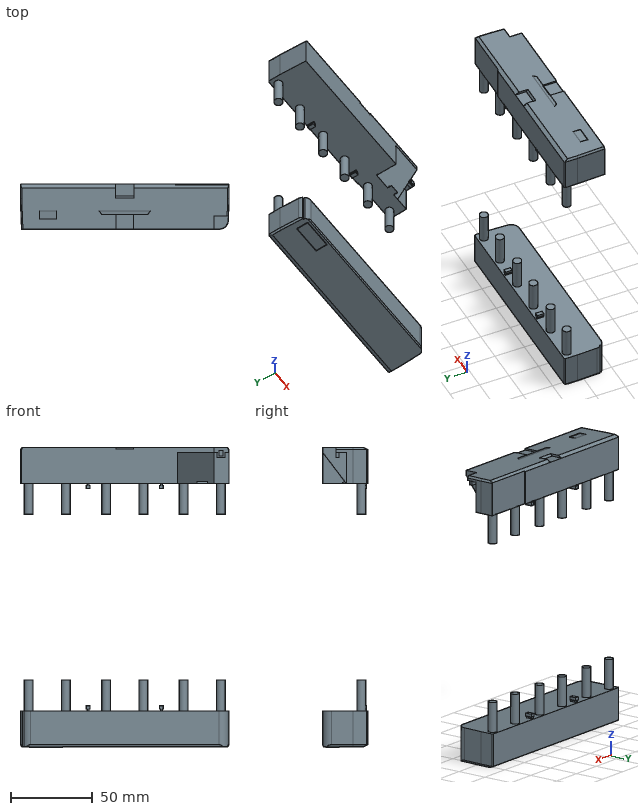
import cadquery as cq

LENGTH = 128.0
DEPTH = 27.8
TOTAL_HEIGHT = 183.9
BLOCK_HEIGHT = 22.0
LABEL_THICKNESS = 0.5

LOWER_BASE = LABEL_THICKNESS
LOWER_MATE = LOWER_BASE + BLOCK_HEIGHT
UPPER_MATE = TOTAL_HEIGHT - BLOCK_HEIGHT
MID_X = LENGTH / 2

END_TAPER = 0.7
TAPER_START_Y = 18.8
BEVEL_HEIGHT = 1.38
END_BEVEL = 1.0
BACK_BEVEL = 2.5
LOWER_FRONT_BEVEL = 0.5
LOWER_CORNER_RADIUS = 5.7
REAR_CORNER_CHAMFER = 0.7

CORNER_GROOVE_X = 2.2
CORNER_GROOVE_Y = 3.0

PIN_DIAMETER = 5.5
PIN_LENGTH = 19.0
PIN_Y = DEPTH - 4.0
PIN_PAIR_SPACING = 22.8
PIN_PAIR_PITCH = 47.5
PIN_PAIR_COUNT = 3

PEG_OFFSET = 22.5
PEG_HEAD_WIDTH = 2.5
PEG_NECK_WIDTH = 1.3
PEG_HEIGHT = 3.1
PEG_NECK_HEIGHT = 1.1
PEG_LENGTH = 4.5
PEG_BACK_Y = DEPTH - 1.0

CHANNEL_DEPTH = 1.01
RAMP_SLOPE = 0.08
RAMP_END_Y = 11.2
CHANNEL_WIDTH = 10.5
CHANNEL_END_Y = 9.2
WIDE_RAMP_FRONT = 28.3
WIDE_RAMP_BACK = 31.3
POCKET_LEFT_X = 11.8
POCKET_WIDTH = 10.5
POCKET_FRONT_Y = 6.3
BACK_NOTCH_WIDTH = 11.2
BACK_NOTCH_LENGTH = 8.5
BACK_NOTCH_DEPTH = 1.38
BACK_NOTCH_SLOPE = 1.1
BACK_STEP_LEFT_X = 95.0
BACK_STEP_DEPTH = 0.5

UNDERCUT_LEFT_X = 96.4
CORNER_X = 118.6
PLATE_THICKNESS = 3.0
UNDERCUT_DEPTH = 14.5
CORNER_NOTCH_DEPTH = 8.0

LEDGE_LEFT_X = 108.1
LEDGE_WIDTH = 6.5
LEDGE_FRONT_Y = 11.5
LEDGE_HEIGHT = 1.3

HANGER_CENTER_X = 123.0
HANGER_WIDTH = 5.0
HANGER_DROP = 6.3
HANGER_THICKNESS = 1.8
HANGER_WINDOW_WIDTH = 2.4
HANGER_WINDOW_TOP = 1.8
HANGER_WINDOW_HEIGHT = 3.5
HANGER_WINDOW_DEPTH = 0.7

LABEL_LEFT_X = 5.5
LABEL_LENGTH = 20.5
LABEL_FRONT_Y = 2.0
LABEL_WIDTH = 8.0


def box(x, y, z, length, depth, height):
    """Box placed by its corner with the smallest coordinates."""
    return cq.Workplane("XY").box(length, depth, height, centered=False).translate((x, y, z))


def side_prism(points, x, length):
    """Prism along X whose section is given as (y, z) points."""
    return cq.Workplane("YZ", origin=(x, 0, 0)).polyline(points).close().extrude(length)


def block_outline(end_inset=0.0, back_inset=0.0, front_inset=0.0):
    """Plan outline of a housing with its ends tapering toward the front."""
    left = end_inset
    right = LENGTH - end_inset
    back = DEPTH - back_inset
    return [
        (left + END_TAPER, front_inset),
        (right - END_TAPER, front_inset),
        (right, TAPER_START_Y),
        (right, back),
        (left, back),
        (left, TAPER_START_Y),
    ]


def outline_prism(mate_z, height):
    """Straight prism of the housing outline with chamfered rear corners."""
    prism = cq.Workplane("XY", origin=(0, 0, mate_z)).polyline(block_outline()).close().extrude(height)
    return prism.edges("|Z and >Y").chamfer(REAR_CORNER_CHAMFER)


def bevelled_block(mate_z, direction, front_bevel=0.0):
    """Housing block from its mating face, bevelled around its outer face."""
    straight = direction * (BLOCK_HEIGHT - BEVEL_HEIGHT)
    body = outline_prism(mate_z, straight)
    rim = (
        cq.Workplane("XY", origin=(0, 0, mate_z + straight))
        .polyline(block_outline()).close()
        .workplane(offset=direction * BEVEL_HEIGHT)
        .polyline(block_outline(END_BEVEL, BACK_BEVEL, front_bevel)).close()
        .loft(ruled=True)
    )
    return body.union(rim.intersect(outline_prism(mate_z, direction * BLOCK_HEIGHT)))


def pins(mate_z, direction):
    """Row of contact pins standing on a mating face."""
    row_center = (PIN_PAIR_COUNT - 1) / 2
    points = []
    for pair in range(PIN_PAIR_COUNT):
        pair_x = MID_X + (pair - row_center) * PIN_PAIR_PITCH
        points += [(pair_x + side * PIN_PAIR_SPACING / 2, PIN_Y) for side in (-1, 1)]
    return (
        cq.Workplane("XY", origin=(0, 0, mate_z))
        .pushPoints(points).circle(PIN_DIAMETER / 2).extrude(direction * PIN_LENGTH)
    )


def snap_peg(center_x, mate_z, direction):
    """T-shaped peg standing on a mating face."""
    neck = PEG_NECK_WIDTH / 2
    head = PEG_HEAD_WIDTH / 2
    shoulder_z = mate_z + direction * PEG_NECK_HEIGHT
    tip_z = mate_z + direction * PEG_HEIGHT
    section = [
        (center_x - neck, mate_z),
        (center_x + neck, mate_z),
        (center_x + neck, shoulder_z),
        (center_x + head, shoulder_z),
        (center_x + head, tip_z),
        (center_x - head, tip_z),
        (center_x - head, shoulder_z),
        (center_x - neck, shoulder_z),
    ]
    return cq.Workplane("XZ", origin=(0, PEG_BACK_Y, 0)).polyline(section).close().extrude(PEG_LENGTH)


def add_connectors(block, mate_z, direction):
    """Join the pins and the two snap pegs to a block."""
    block = block.union(pins(mate_z, direction))
    for side in (-1, 1):
        block = block.union(snap_peg(MID_X + side * PEG_OFFSET, mate_z, direction))
    return block


def ramp_cutter(x, length, front_y):
    """Shallow wedge that is deepest at its front and runs out into the top face."""
    floor_z = TOTAL_HEIGHT - RAMP_SLOPE * (RAMP_END_Y - front_y)
    section = [
        (front_y, floor_z),
        (RAMP_END_Y, TOTAL_HEIGHT),
        (front_y, TOTAL_HEIGHT),
    ]
    return side_prism(section, x, length)


def surface_recesses():
    """Front channel with its flared ramp, ramped pocket, back notch and back step."""
    floor_z = TOTAL_HEIGHT - CHANNEL_DEPTH
    channel = box(MID_X - CHANNEL_WIDTH / 2, 0, floor_z, CHANNEL_WIDTH, CHANNEL_END_Y, CHANNEL_DEPTH)

    flare = (
        cq.Workplane("XY", origin=(0, 0, floor_z))
        .polyline([
            (MID_X - WIDE_RAMP_FRONT / 2, CHANNEL_END_Y),
            (MID_X + WIDE_RAMP_FRONT / 2, CHANNEL_END_Y),
            (MID_X + WIDE_RAMP_BACK / 2, RAMP_END_Y),
            (MID_X - WIDE_RAMP_BACK / 2, RAMP_END_Y),
        ])
        .close().extrude(CHANNEL_DEPTH)
    )
    wide_ramp = ramp_cutter(MID_X - WIDE_RAMP_BACK / 2, WIDE_RAMP_BACK, CHANNEL_END_Y).intersect(flare)

    pocket = ramp_cutter(POCKET_LEFT_X, POCKET_WIDTH, POCKET_FRONT_Y)

    notch_floor_z = TOTAL_HEIGHT - BACK_NOTCH_DEPTH
    notch_front_y = DEPTH - BACK_NOTCH_LENGTH
    back_notch = side_prism(
        [
            (notch_front_y, TOTAL_HEIGHT),
            (notch_front_y + BACK_NOTCH_SLOPE, notch_floor_z),
            (DEPTH, notch_floor_z),
            (DEPTH, TOTAL_HEIGHT),
        ],
        MID_X - BACK_NOTCH_WIDTH / 2,
        BACK_NOTCH_WIDTH,
    )

    back_step = box(
        BACK_STEP_LEFT_X, DEPTH - BACK_STEP_DEPTH, UPPER_MATE,
        LENGTH - BACK_STEP_LEFT_X, BACK_STEP_DEPTH, BLOCK_HEIGHT,
    )
    return [channel, wide_ramp, pocket, back_notch, back_step]


def corner_cutters():
    """Sloped undercut, square undercut at the corner, and plate notch."""
    plate_z = TOTAL_HEIGHT - PLATE_THICKNESS
    slope = side_prism(
        [(0, plate_z), (0, UPPER_MATE), (UNDERCUT_DEPTH, UPPER_MATE)],
        UNDERCUT_LEFT_X,
        CORNER_X - UNDERCUT_LEFT_X,
    )
    corner_length = LENGTH - CORNER_X
    undercut = box(CORNER_X, 0, UPPER_MATE, corner_length, UNDERCUT_DEPTH, plate_z - UPPER_MATE)
    plate_notch = box(CORNER_X, 0, plate_z, corner_length, CORNER_NOTCH_DEPTH, PLATE_THICKNESS)
    return [slope, undercut, plate_notch]


def ledge():
    """Small wedge at the foot of the sloped undercut."""
    slope_run = UNDERCUT_DEPTH * LEDGE_HEIGHT / (BLOCK_HEIGHT - PLATE_THICKNESS)
    section = [
        (LEDGE_FRONT_Y, UPPER_MATE),
        (UNDERCUT_DEPTH, UPPER_MATE),
        (UNDERCUT_DEPTH - slope_run, UPPER_MATE + LEDGE_HEIGHT),
    ]
    return side_prism(section, LEDGE_LEFT_X, LEDGE_WIDTH)


def hanger():
    """Tab hanging from the notched edge of the plate."""
    return box(
        HANGER_CENTER_X - HANGER_WIDTH / 2, CORNER_NOTCH_DEPTH, TOTAL_HEIGHT - HANGER_DROP,
        HANGER_WIDTH, HANGER_THICKNESS, HANGER_DROP - PLATE_THICKNESS,
    )


def hanger_window():
    """Shallow recess in the face of the tab and the plate edge."""
    return box(
        HANGER_CENTER_X - HANGER_WINDOW_WIDTH / 2, CORNER_NOTCH_DEPTH,
        TOTAL_HEIGHT - HANGER_WINDOW_TOP - HANGER_WINDOW_HEIGHT,
        HANGER_WINDOW_WIDTH, HANGER_WINDOW_DEPTH, HANGER_WINDOW_HEIGHT,
    )


def make_upper_housing():
    block = bevelled_block(UPPER_MATE, 1)
    for cutter in surface_recesses() + corner_cutters():
        block = block.cut(cutter)
    block = block.union(ledge()).union(hanger()).cut(hanger_window())
    return add_connectors(block, UPPER_MATE, -1)


def make_lower_housing():
    rounded = outline_prism(LOWER_MATE, -BLOCK_HEIGHT).edges("|Z and <Y").fillet(LOWER_CORNER_RADIUS)
    block = bevelled_block(LOWER_MATE, -1, LOWER_FRONT_BEVEL).intersect(rounded)
    groove = box(0, 0, LOWER_BASE, CORNER_GROOVE_X, CORNER_GROOVE_Y, BLOCK_HEIGHT)
    block = block.cut(groove)
    label = box(LABEL_LEFT_X, LABEL_FRONT_Y, 0, LABEL_LENGTH, LABEL_WIDTH, LABEL_THICKNESS)
    return add_connectors(block.union(label), LOWER_MATE, 1)


upper_housing = make_upper_housing()
lower_housing = make_lower_housing()

result = cq.Compound.makeCompound([upper_housing.val(), lower_housing.val()])